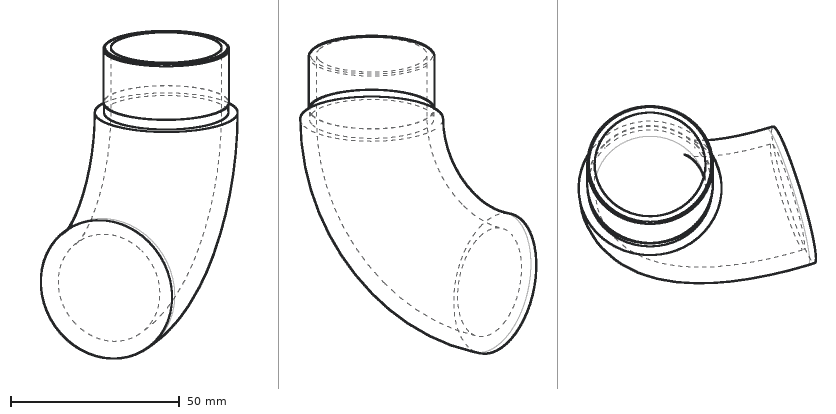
import cadquery as cq

overall_height = 84.0
tube_diameter = 42.4
bore_diameter = 32.8
cap_thickness = 2.0
spigot_diameter = 37.3
spigot_length = 20.0
relief_diameter = 36.9
relief_length = 3.0
rim_chamfer = 0.5
bend_radius = overall_height - spigot_length - tube_diameter / 2

bend_angle = 90
bend_centre = (0, -bend_radius, 0)
bend_axis_end = (-1, -bend_radius, 0)


def bend(diameter):
    """Quarter torus running from the shoulder down to the capped end."""
    section = cq.Workplane("XY").circle(diameter / 2)
    return section.revolve(bend_angle, bend_centre, bend_axis_end)


def cap():
    """Flat disc closing the horizontal end of the elbow."""
    end_plane = cq.Workplane("XZ", origin=(0, -bend_radius, -bend_radius))
    return end_plane.circle(tube_diameter / 2).extrude(cap_thickness)


def spigot():
    """Upright connector with a relieved neck and a chamfered rim."""
    neck = cq.Workplane("XY").circle(relief_diameter / 2).extrude(relief_length)
    sleeve = (
        cq.Workplane("XY", origin=(0, 0, relief_length))
        .circle(spigot_diameter / 2)
        .extrude(spigot_length - relief_length)
        .faces(">Z")
        .chamfer(rim_chamfer)
    )
    return neck.union(sleeve)


def spigot_bore():
    """Straight part of the bore, through the spigot."""
    return cq.Workplane("XY").circle(bore_diameter / 2).extrude(spigot_length)


body = bend(tube_diameter).union(cap()).union(spigot())
result = body.cut(spigot_bore()).cut(bend(bore_diameter))